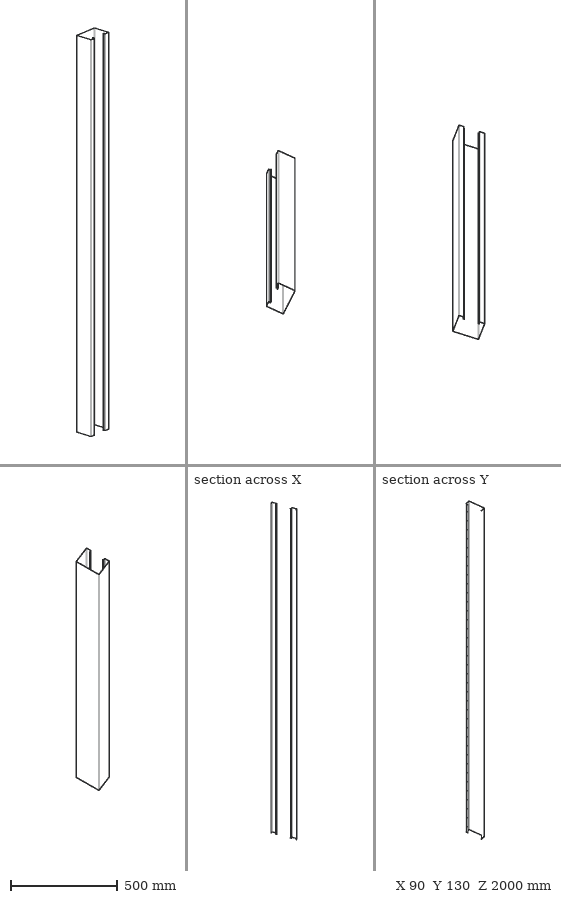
import cadquery as cq

width = 90.0
depth = 130.0
length = 2000.0

wall = 2.0
bend_radius = 3.0
inner_radius = bend_radius - wall
lip_gap = 76.0
lip_reach = 12.0
bar_drop = 4.0
bar_rise = 1.0

web_x = -width / 2
web_inner_x = web_x + wall
open_x = width / 2
open_inner_x = open_x - wall
flange_y = depth / 2
flange_inner_y = flange_y - wall
lip_y = lip_gap / 2
lip_inner_y = lip_y + wall
bar_back_x = open_x - lip_reach
bar_front_x = bar_back_x + wall
bar_low_y = lip_y - bar_drop
bar_high_y = lip_inner_y + bar_rise

outer_corners = [(web_x, flange_y), (open_x, flange_y), (open_x, lip_y)]
inner_corners = [
    (web_inner_x, flange_inner_y),
    (open_inner_x, flange_inner_y),
    (open_inner_x, lip_inner_y),
]


def sharp_half():
    """The +Y half of the channel with square corners, its lip ending in a T-shaped edge bar."""
    outer_side = [(web_x, 0), *outer_corners]
    edge_bar = [
        (bar_front_x, lip_y),
        (bar_front_x, bar_low_y),
        (bar_back_x, bar_low_y),
        (bar_back_x, bar_high_y),
        (bar_front_x, bar_high_y),
        (bar_front_x, lip_inner_y),
    ]
    inner_side = [*reversed(inner_corners), (web_inner_x, 0)]
    outline = outer_side + edge_bar + inner_side
    return cq.Workplane("XY").polyline(outline).close().extrude(length)


def round_corners(body, corners, radius):
    """Round the lengthwise edges that stand on the given section corners."""
    for x, y in corners:
        edge = cq.selectors.NearestToPointSelector((x, y, length / 2))
        body = body.edges(edge).fillet(radius)
    return body


def make_channel():
    """Round the bends of one half, then mirror it about the XZ mid-plane."""
    half = round_corners(sharp_half(), outer_corners, bend_radius)
    half = round_corners(half, inner_corners, inner_radius)
    return half.union(half.mirror("XZ")).clean()


result = make_channel()